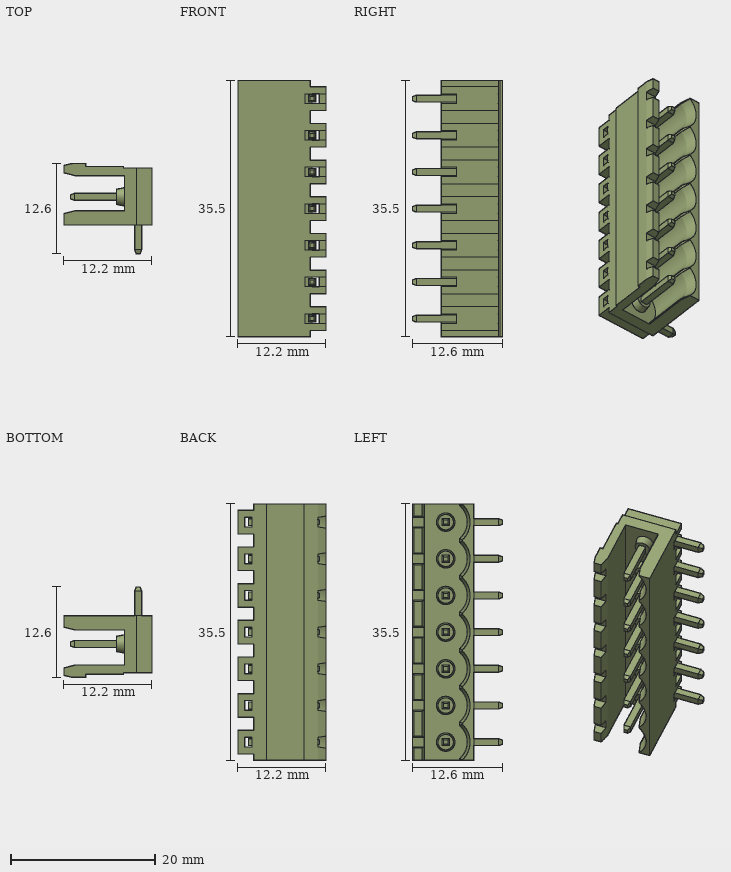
import cadquery as cq


pin_count = 7
row_length = 35.55
pitch = row_length / pin_count
pin_heights = [(i + 0.5) * pitch for i in range(pin_count)]

housing_depth = 12.2
latch_top = 8.55
upper_wall_top = 8.15
back_top = 7.93
latch_length = 3.02
upper_wall_length = 8.25
latch_tip_top = 8.3
latch_tip_bottom = 7.22
latch_lead_length = 1.05

cavity_depth = 8.35
cavity_floor = 2.0
cavity_ceiling = 6.83
lead_in_length = 1.53
lead_in_drop = 0.4
scallop_radius = 3.0

notch_depth = 1.15
notch_width = 1.3
notch_mouth_width = 1.67

tooth_root = 10.03
tooth_width = 3.3

pin_size = 1.0
pin_tip_size = 0.57
pin_tip_length = 0.57
pin_axis_y = 3.9
contact_start = 0.9
leg_axis_x = 10.28
leg_length = 4.0

collar_length = 1.1
collar_base_radius = 1.28
collar_tip_radius = 1.05

slot_width = 1.3
slot_start = 9.28
slot_depth = 2.15
opening_end = 11.25


def block(x_range, y_range, z_range):
    """Axis-aligned box from its limits along X, Y and Z."""
    size = [high - low for low, high in (x_range, y_range, z_range)]
    return cq.Workplane("XY").box(*size, centered=False).translate((x_range[0], y_range[0], z_range[0]))


def centred_span(centre, width):
    return (centre - width / 2, centre + width / 2)


def make_housing():
    """U-shaped housing, open towards -X, with lead-ins on both walls."""
    outline = [
        (0, 0),
        (housing_depth, 0),
        (housing_depth, back_top),
        (upper_wall_length, back_top),
        (upper_wall_length, upper_wall_top),
        (latch_length, upper_wall_top),
        (latch_length, latch_top),
        (latch_lead_length, latch_top),
        (0, latch_tip_top),
        (0, latch_tip_bottom),
        (lead_in_length, cavity_ceiling),
        (cavity_depth, cavity_ceiling),
        (cavity_depth, cavity_floor),
        (lead_in_length, cavity_floor),
        (0, cavity_floor - lead_in_drop),
    ]
    return cq.Workplane("XY").polyline(outline).close().extrude(row_length)


def make_scallop(z):
    """Round groove in the lower wall around one contact, flared at its mouth."""
    profile = [
        (0, pin_axis_y),
        (0, pin_axis_y - scallop_radius - lead_in_drop),
        (lead_in_length, pin_axis_y - scallop_radius),
        (cavity_depth, pin_axis_y - scallop_radius),
        (cavity_depth, pin_axis_y),
    ]
    groove = (
        cq.Workplane("XY").polyline(profile).close()
        .revolve(360, (0, pin_axis_y, 0), (1, pin_axis_y, 0))
        .translate((0, 0, z))
    )
    lower_half = block((0, cavity_depth), (0, pin_axis_y), (0, row_length))
    return groove.intersect(lower_half)


def make_latch_notch(z):
    """Tapered notch in the tip of the upper wall."""
    outline = [
        (0, z - notch_mouth_width / 2),
        (notch_depth, z - notch_width / 2),
        (notch_depth, z + notch_width / 2),
        (0, z + notch_mouth_width / 2),
    ]
    upper_wall_height = latch_top - pin_axis_y
    return (
        cq.Workplane("XZ", origin=(0, pin_axis_y, 0))
        .polyline(outline).close().extrude(-upper_wall_height)
    )


def make_leg_slot(z):
    """Recess open to the board side and the back, with an opening through the tooth."""
    span = centred_span(z, slot_width)
    recess = block((slot_start, housing_depth), (0, slot_depth), span)
    opening = block((leg_axis_x, opening_end), (0, back_top), span)
    return recess.union(opening)


def make_tooth_gaps():
    """Gaps between the teeth and beyond the two end teeth."""
    strip = block((tooth_root, housing_depth), (0, back_top), (0, row_length))
    for z in pin_heights:
        tooth = block((tooth_root, housing_depth), (0, back_top), centred_span(z, tooth_width))
        strip = strip.cut(tooth)
    return strip


def make_straight_pin(plane, length):
    """Square pin along the plane normal, ending in a pyramid-shaped tip."""
    shaft_length = length - pin_tip_length
    shaft = cq.Workplane(plane).rect(pin_size, pin_size).extrude(shaft_length)
    tip = (
        cq.Workplane(plane).workplane(offset=shaft_length)
        .rect(pin_size, pin_size)
        .workplane(offset=pin_tip_length)
        .rect(pin_tip_size, pin_tip_size)
        .loft(ruled=True)
    )
    return shaft.union(tip)


def make_pin(z):
    """Contact towards -X, bent square into a leg towards -Y."""
    bend = (leg_axis_x, pin_axis_y, z)
    towards_mating = cq.Plane(origin=bend, xDir=(0, 1, 0), normal=(-1, 0, 0))
    towards_board = cq.Plane(origin=bend, xDir=(1, 0, 0), normal=(0, -1, 0))
    contact = make_straight_pin(towards_mating, leg_axis_x - contact_start)
    leg = make_straight_pin(towards_board, pin_axis_y + leg_length)
    corner = cq.Workplane("XY").box(pin_size, pin_size, pin_size).translate(bend)
    return contact.union(leg).union(corner)


def make_collar(z):
    """Cone on the cavity's back wall around one contact."""
    profile = [
        (cavity_depth, pin_axis_y),
        (cavity_depth, pin_axis_y + collar_base_radius),
        (cavity_depth - collar_length, pin_axis_y + collar_tip_radius),
        (cavity_depth - collar_length, pin_axis_y),
    ]
    return (
        cq.Workplane("XY").polyline(profile).close()
        .revolve(360, (0, pin_axis_y, 0), (1, pin_axis_y, 0))
        .translate((0, 0, z))
    )


result = make_housing().cut(make_tooth_gaps())
for pin_z in pin_heights:
    result = result.cut(make_scallop(pin_z))
    result = result.cut(make_latch_notch(pin_z))
    result = result.cut(make_leg_slot(pin_z))
for pin_z in pin_heights:
    result = result.union(make_collar(pin_z))
    result = result.union(make_pin(pin_z))